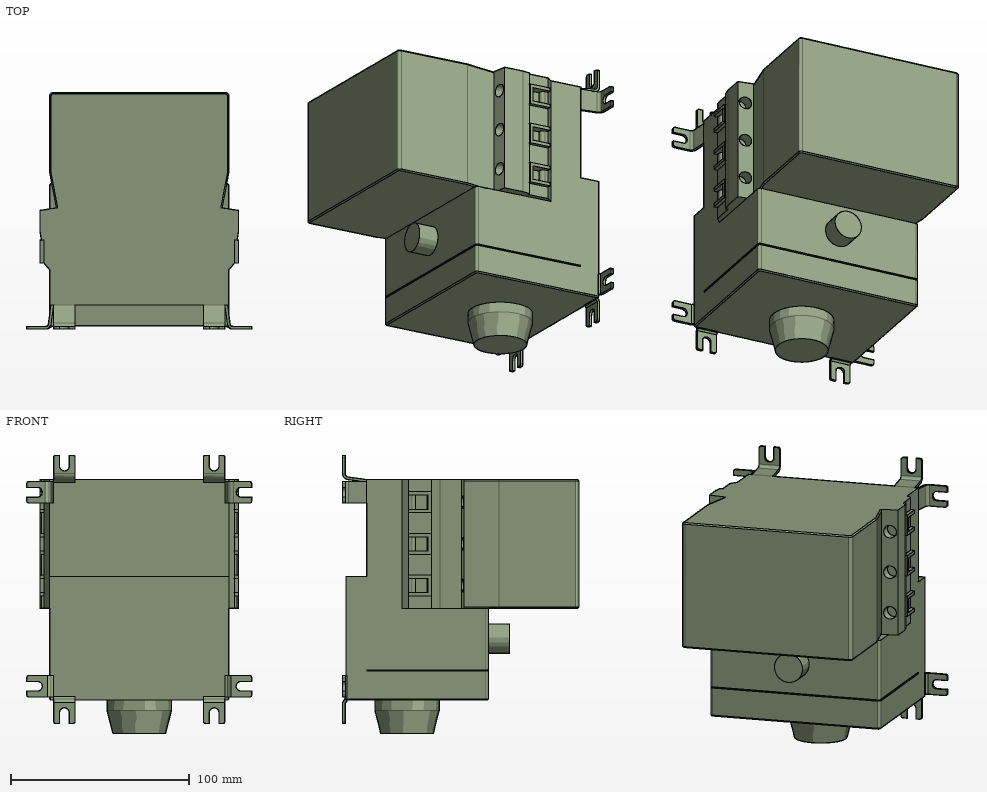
import cadquery as cq

half_width = 50.2
housing_top = 123.5
step_level = 69.3
upper_bottom = 51.4
base_back = 1.9
upper_back = 13.5
base_front = 81.8
cover_front = 132.5
edge_round = 0.8

cover_rear = 68.0
cover_taper_start = 87.5
cover_rear_half_width = 46.5
cover_corner_radius = 1.9

base_corner_radius = 1.5
seam_level = 16.7
seam_width = 0.6
seam_depth = 0.5
seam_rear = 13.9

strip_half_width = 55.6
strip_front = 66.5
strip_taper_start = 54.7
strip_lip_half_width = 54.8
strip_root_half_width = 53.3
strip_rear = 33.2
block_front = 49.9
block_rear = 37.0
block_height = 11.7
block_pitch = 23.4
block_count = 3
lowest_block = (upper_bottom + housing_top) / 2 - (block_count - 1) / 2 * block_pitch
block_levels = [lowest_block + index * block_pitch for index in range(block_count)]

mouth_height = 8.0
mouth_front = 48.0
well_front = 47.4
well_rear = 41.0
well_depth = 5.5
well_lip_radius = 2.2

screw_hole_diameter = 7.2
screw_hole_x = 51.1
screw_hole_bottom = 60.8

knob_y = 36.1
knob_radius = 18.0
knob_tip_radius = 14.8
knob_rim_height = 5.8
knob_height = 18.7
button_radius = 8.3
button_z = 34.5
button_front = 93.6

bracket_thickness = 1.5
bracket_width = 12.2
bracket_corner_radius = 1.2
slot_width = 5.3
slot_depth = 8.7
overall_width = 126.0
side_bracket_tip = overall_width / 2
top_bracket_tip = 137.1
bottom_bracket_tip = -13.1
bracket_x = 41.9
upper_side_bracket_z = 116.4
lower_side_bracket_z = 7.8
foot_length = 10.3
bend_radius = 1.9
web_rise = 1.4

fold_start = 11.7
fold_inner_start = 11.4
fold_shoulder = 12.5
fold_shoulder_y = 2.5
fold_kink = 13.7
fold_kink_y = 1.2
fold_end = 15.1
fold_front = 3.1


def box_between(x0, x1, y0, y1, z0, z1):
    size = (x1 - x0, y1 - y0, z1 - z0)
    return cq.Workplane("XY").box(*size, centered=False).translate((x0, y0, z0))


def make_cover():
    """Front cover, narrowing towards the terminal strips, with softened edges."""
    outline = [
        (-cover_rear_half_width, cover_rear),
        (-half_width, cover_taper_start),
        (-half_width, cover_front),
        (half_width, cover_front),
        (half_width, cover_taper_start),
        (cover_rear_half_width, cover_rear),
    ]
    cover = cq.Workplane("XY").workplane(offset=upper_bottom).polyline(outline).close()
    cover = cover.extrude(housing_top - upper_bottom)
    cover = cover.edges("|Z and >Y").fillet(cover_corner_radius)
    return cover.faces("<Z or >Z").edges("not(<Y)").chamfer(edge_round)


def make_base():
    """Deep lower housing with a seam around its lower end."""
    base = box_between(-half_width, half_width, base_back, base_front, 0, upper_bottom)
    base = base.edges("|Z and >Y").fillet(base_corner_radius)
    base = base.faces("<Z").edges("not(<Y)").chamfer(edge_round)
    seam_bottom = seam_level - seam_width / 2
    seam_top = seam_level + seam_width / 2
    outer = box_between(-half_width, half_width, seam_rear, base_front, seam_bottom, seam_top)
    core_half_width = half_width - seam_depth
    core = box_between(
        -core_half_width, core_half_width, seam_rear, base_front - seam_depth, seam_bottom, seam_top
    )
    return base.cut(outer.cut(core))


def make_core():
    """Plain block that joins the cover, the base and the terminal strips."""
    upper = box_between(-half_width, half_width, upper_back, strip_front, upper_bottom, housing_top)
    shoulder = box_between(-half_width, half_width, base_back, strip_front, upper_bottom, step_level)
    return upper.union(shoulder)


def make_terminal_strip():
    """Terminal strip on the +X side."""
    outline = [
        (0, cover_rear),
        (cover_rear_half_width, cover_rear),
        (strip_half_width, strip_front),
        (strip_half_width, strip_taper_start),
        (strip_lip_half_width, block_front),
        (strip_root_half_width, block_front),
        (strip_root_half_width, block_rear),
        (half_width, strip_rear),
        (0, strip_rear),
    ]
    strip = cq.Workplane("XY").workplane(offset=upper_bottom).polyline(outline).close()
    strip = strip.extrude(housing_top - upper_bottom)
    for block_z in block_levels:
        strip = strip.union(make_block(block_z))
    return strip


def make_block(block_z):
    return box_between(
        half_width, strip_half_width, block_rear, block_front,
        block_z - block_height / 2, block_z + block_height / 2,
    )


def make_opening(block_z):
    """Mouth and well of one terminal; a round blends the rear of the well into the mouth."""
    mouth_floor = strip_root_half_width
    profile = (
        cq.Workplane("XY")
        .workplane(offset=block_z - mouth_height / 2)
        .moveTo(strip_half_width, mouth_front)
        .lineTo(mouth_floor, mouth_front)
        .lineTo(mouth_floor, well_front)
        .lineTo(strip_half_width - well_depth, well_front)
        .lineTo(strip_half_width - well_depth, well_rear)
        .lineTo(mouth_floor - well_lip_radius, well_rear)
        .radiusArc((mouth_floor, well_rear - well_lip_radius), well_lip_radius)
        .lineTo(mouth_floor, block_rear)
        .lineTo(strip_half_width, block_rear)
        .close()
    )
    return profile.extrude(mouth_height)


def make_screw_hole(block_z):
    start = cq.Workplane("XZ", origin=(screw_hole_x, screw_hole_bottom, block_z))
    return start.circle(screw_hole_diameter / 2).extrude(screw_hole_bottom - cover_rear)


def make_knob():
    rim = cq.Workplane("XY").center(0, knob_y).circle(knob_radius).extrude(-knob_rim_height)
    taper = (
        cq.Workplane("XY", origin=(0, knob_y, -knob_rim_height))
        .circle(knob_radius)
        .workplane(offset=knob_rim_height - knob_height)
        .circle(knob_tip_radius)
        .loft()
    )
    return rim.union(taper)


def make_button():
    start = cq.Workplane("XZ", origin=(0, base_front - edge_round, button_z))
    return start.circle(button_radius).extrude(base_front - edge_round - button_front)


def long_profile(web_back):
    """Bracket side profile (Y, Z), tip at Z = 0: foot, round bend, sloping web up to web_back."""
    outer_radius = bend_radius + bracket_thickness
    bend_y = outer_radius
    web_face = -foot_length - bend_radius
    return (
        cq.Workplane("YZ")
        .moveTo(0, 0)
        .lineTo(0, -foot_length)
        .radiusArc((bend_y, -foot_length - outer_radius), -outer_radius)
        .lineTo(web_back, web_face - bracket_thickness - web_rise)
        .lineTo(web_back, web_face - web_rise)
        .lineTo(bend_y, web_face)
        .radiusArc((bracket_thickness, -foot_length), bend_radius)
        .lineTo(bracket_thickness, 0)
        .close()
    )


def short_profile():
    """Bracket side profile (Y, Z), tip at Z = 0: foot with a folded end running into the base."""
    fold = [
        (0, 0),
        (0, -fold_start),
        (fold_kink_y, -fold_kink),
        (base_back, -fold_end),
        (fold_front, -fold_end),
        (fold_shoulder_y, -fold_shoulder),
        (bracket_thickness, -fold_inner_start),
        (bracket_thickness, 0),
    ]
    return cq.Workplane("YZ").polyline(fold).close()


def make_bracket(profile):
    """Bracket centred on X = 0 with its forked tip pointing up to Z = 0."""
    bracket = profile.extrude(bracket_width / 2, both=True)
    bracket = bracket.faces(">Z").edges("|Y").fillet(bracket_corner_radius)
    slot_radius = slot_width / 2
    slot_end = -slot_depth + slot_radius
    slot = box_between(-slot_radius, slot_radius, 0, bracket_thickness, slot_end, 0)
    slot_round = cq.Workplane("XZ", origin=(0, 0, slot_end)).circle(slot_radius)
    slot = slot.union(slot_round.extrude(-bracket_thickness))
    return bracket.cut(slot)


def turned(bracket, angle):
    return bracket.rotate((0, 0, 0), (0, 1, 0), angle)


def make_brackets():
    """All eight mounting brackets: two on each side, two on top and two at the bottom."""
    long_bracket = make_bracket(long_profile(upper_back))
    short_bracket = make_bracket(short_profile())
    brackets = []
    for side in (-1, 1):
        brackets += [
            long_bracket.translate((side * bracket_x, 0, top_bracket_tip)),
            turned(short_bracket, 180).translate((side * bracket_x, 0, bottom_bracket_tip)),
            turned(long_bracket, side * 90).translate((side * side_bracket_tip, 0, upper_side_bracket_z)),
            turned(short_bracket, side * 90).translate((side * side_bracket_tip, 0, lower_side_bracket_z)),
        ]
    return brackets


terminal_strip = make_terminal_strip()
result = make_core().union(make_base()).union(make_cover())
result = result.union(terminal_strip).union(terminal_strip.mirror("YZ"))
for terminal_z in block_levels:
    for cutter in (make_opening(terminal_z), make_screw_hole(terminal_z)):
        result = result.cut(cutter).cut(cutter.mirror("YZ"))
result = result.union(make_knob()).union(make_button())
for mounting_bracket in make_brackets():
    result = result.union(mounting_bracket)